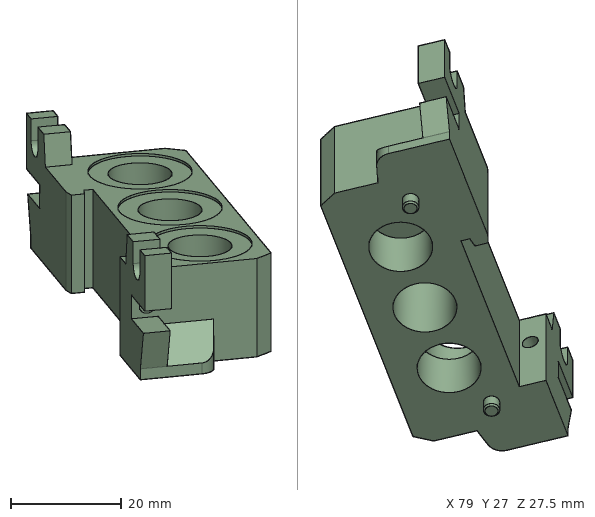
import cadquery as cq

length = 79.0
depth = 27.0
body_height = 19.0
arm_top = 25.05
plate_depth = 5.05
half_length = length / 2

block_half_width = 30.6
corner_width = 2.1
corner_depth = 3.3

slot_bottom = 9.7
slot_top = 14.3
hook_tip = 38.6
base_half_width = 36.6
base_edge_height = 2.1
arm_inner_top = 27.8
arm_inner_bottom = 26.8

notch_x = 34.05
notch_width = 4.5
notch_bottom = 18.6

recess_left = -13.0
recess_right = 22.9
lip_tip = -11.1
lip_back_root = 3.4
lip_back_tip = 3.0
lip_front_tip = 0.5
lip_front_root = recess_left

bore_pitch = 20.0
bore_y = 15.95
bore_diameter = 11.6
counterbore_diameter = 18.95
counterbore_depth = 0.5
outlet_shift = 5.05
ledge_height = body_height / 2

wing_root_y = 15.5
wing_tip_y = 14.0
wing_root_height = 8.1
wing_corner_radius = 3.0

pin_x = 25.0
pin_y = 11.0
pin_diameter = 3.0
pin_length = 2.45
pin_chamfer = 0.3
cross_hole_diameter = 3.0
cross_hole_y = 3.0


def mirrored_pair(solid):
    """Join a solid with its mirror image across the YZ plane."""
    return solid.union(solid.mirror("YZ"))


def cylinder(x, y, bottom, diameter, height):
    """Make a vertical cylinder standing on the given level."""
    return cq.Workplane("XY", origin=(x, y, bottom)).circle(diameter / 2).extrude(height)


def make_block():
    """Block with both rear corners cut off."""
    outline = [
        (-block_half_width, plate_depth),
        (block_half_width, plate_depth),
        (block_half_width, depth - corner_depth),
        (block_half_width - corner_width, depth),
        (corner_width - block_half_width, depth),
        (-block_half_width, depth - corner_depth),
    ]
    return cq.Workplane("XY").polyline(outline).close().extrude(body_height)


def make_plate():
    """Front plate with side slots, raised arms and U notches."""
    right_half = [
        (0, 0),
        (base_half_width, 0),
        (base_half_width, base_edge_height),
        (hook_tip, slot_bottom),
        (block_half_width, slot_bottom),
        (block_half_width, slot_top),
        (half_length, slot_top),
        (half_length, arm_top),
        (arm_inner_top, arm_top),
        (arm_inner_bottom, body_height),
        (0, body_height),
    ]
    half = cq.Workplane("XZ").polyline(right_half).close().extrude(-plate_depth)
    notch_radius = notch_width / 2
    notch_center = notch_bottom + notch_radius
    notch = (
        cq.Workplane("XZ")
        .moveTo(notch_x - notch_radius, arm_top)
        .lineTo(notch_x - notch_radius, notch_center)
        .threePointArc((notch_x, notch_bottom), (notch_x + notch_radius, notch_center))
        .lineTo(notch_x + notch_radius, arm_top)
        .close()
        .extrude(-plate_depth)
    )
    return mirrored_pair(half.cut(notch))


def make_plate_recess():
    """Full-height opening in the plate, shaped around the lip."""
    outline = [
        (recess_right, plate_depth),
        (recess_left, plate_depth),
        (recess_left, lip_back_root),
        (lip_tip, lip_back_tip),
        (lip_tip, lip_front_tip),
        (lip_front_root, 0),
        (recess_right, 0),
    ]
    return cq.Workplane("XY").polyline(outline).close().extrude(body_height)


def make_wings():
    """Side wings with a sloping top and a rounded rear corner."""
    footprint = [
        (block_half_width, plate_depth),
        (base_half_width, plate_depth),
        (base_half_width, wing_tip_y),
        (block_half_width, wing_root_y),
    ]
    profile = [
        (block_half_width, 0),
        (base_half_width, 0),
        (base_half_width, base_edge_height),
        (block_half_width, wing_root_height),
    ]
    wing = cq.Workplane("XY").polyline(footprint).close().extrude(wing_root_height)
    rear_corner = (base_half_width, wing_tip_y, wing_root_height / 2)
    wing = wing.edges(cq.NearestToPointSelector(rear_corner)).fillet(wing_corner_radius)
    slope = cq.Workplane("XZ").polyline(profile).close().extrude(-depth)
    return mirrored_pair(wing.intersect(slope))


def make_bore(side):
    """Bore with a shallow counterbore; the outer bores step towards the middle."""
    x = side * bore_pitch
    outlet_x = x - side * outlet_shift
    upper = cylinder(x, bore_y, ledge_height, bore_diameter, body_height - ledge_height)
    lower = cylinder(outlet_x, bore_y, 0, bore_diameter, ledge_height)
    counterbore = cylinder(
        x, bore_y, body_height - counterbore_depth, counterbore_diameter, counterbore_depth
    )
    return upper.union(lower).union(counterbore)


def make_pins():
    """Chamfered locating pins below the block."""
    pin = cylinder(pin_x, pin_y, -pin_length, pin_diameter, pin_length)
    return mirrored_pair(pin.faces("<Z").chamfer(pin_chamfer))


def make_cross_hole():
    """Hole from the right side of the plate recess into the right slot."""
    middle_height = (slot_bottom + slot_top) / 2
    return (
        cq.Workplane("YZ", origin=(recess_right, cross_hole_y, middle_height))
        .circle(cross_hole_diameter / 2)
        .extrude(block_half_width - recess_right)
    )


result = make_block().union(make_plate()).union(make_wings()).union(make_pins())
result = result.cut(make_plate_recess()).cut(make_cross_hole())
for side in (-1, 0, 1):
    result = result.cut(make_bore(side))